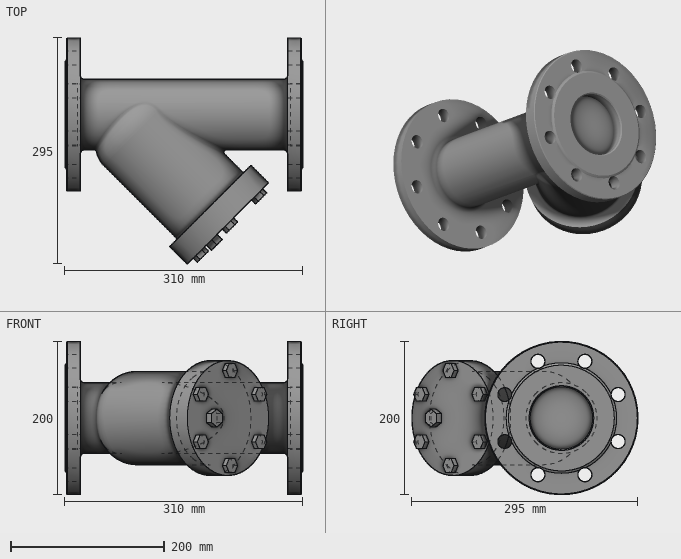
import cadquery as cq
import math


face_to_face = 310.0
pipe_diameter = 92.5
pipe_fillet = 5.0
flange_diameter = 200.0
flange_thickness = 18.0
flange_chamfer = 1.0
raised_face_height = 2.0
raised_face_diameter = 138.0
raised_face_base_diameter = 144.0
flange_bolt_circle = 160.0
flange_hole_diameter = 18.0
flange_hole_count = 8
bore_diameter = 81.5
bore_depth = 16.0
bore_chamfer = 1.5

branch_angle = 45.0
branch_crossing_x = -84.6
branch_diameter = 122.0
dome_end_distance = -3.0
dome_corner_radius = 36.0
branch_pipe_fillet = 3.0
branch_cover_fillet = 2.5

cover_diameter = 150.0
cover_thickness = 32.5
cover_face_distance = 200.8
cover_bolt_circle = 124.0
cover_bolt_count = 6
hex_sides = 6
bolt_head_across_flats = 18.0
bolt_head_height = 7.5
plug_across_flats = 20.0
plug_height = 9.5
plug_offset = 30.0

half_length = face_to_face / 2
flange_back_x = half_length - raised_face_height - flange_thickness
cover_back_distance = cover_face_distance - cover_thickness

branch_direction = (
    math.cos(math.radians(branch_angle)),
    -math.sin(math.radians(branch_angle)),
    0,
)


def branch_plane(distance):
    """Plane across the branch; its local x lies in XY on the -X -Y side, its local y is vertical."""
    dx, dy, dz = branch_direction
    origin = (branch_crossing_x + distance * dx, distance * dy, 0)
    return cq.Plane(origin=origin, xDir=(dy, -dx, 0), normal=branch_direction)


def make_flange_end():
    """Flange of the +X end with its raised face and the fillet onto the pipe, revolved about X."""
    pipe_radius = pipe_diameter / 2
    flange_radius = flange_diameter / 2
    flange_front_x = half_length - raised_face_height
    fillet_offset = pipe_fillet * (1 - math.sqrt(0.5))
    return (
        cq.Workplane("XY")
        .moveTo(flange_back_x - pipe_fillet, 0)
        .lineTo(half_length, 0)
        .lineTo(half_length, raised_face_diameter / 2)
        .lineTo(flange_front_x, raised_face_base_diameter / 2)
        .lineTo(flange_front_x, flange_radius - flange_chamfer)
        .lineTo(flange_front_x - flange_chamfer, flange_radius)
        .lineTo(flange_back_x, flange_radius)
        .lineTo(flange_back_x, pipe_radius + pipe_fillet)
        .threePointArc(
            (flange_back_x - fillet_offset, pipe_radius + fillet_offset),
            (flange_back_x - pipe_fillet, pipe_radius),
        )
        .close()
        .revolve(360, (0, 0, 0), (1, 0, 0))
    )


def make_pipe_body():
    """Pipe along X with a flange at each end."""
    pipe_end_x = flange_back_x - pipe_fillet
    pipe = cq.Workplane("YZ", origin=(-pipe_end_x, 0, 0)).circle(pipe_diameter / 2).extrude(2 * pipe_end_x)
    flange_end = make_flange_end()
    return pipe.union(flange_end).union(flange_end.mirror("YZ"))


def make_branch():
    """Round branch with a flat end whose rim is rounded into a dome."""
    inner_end = cq.selectors.DirectionMinMaxSelector(cq.Vector(branch_direction), directionMax=False)
    return (
        cq.Workplane(branch_plane(dome_end_distance))
        .circle(branch_diameter / 2)
        .extrude(cover_back_distance - dome_end_distance)
        .faces(inner_end)
        .edges()
        .fillet(dome_corner_radius)
    )


def add_cover(branch):
    """Add the cover disc and fillet the corner between its back and the branch."""
    back_plane = branch_plane(cover_back_distance)
    cover = cq.Workplane(back_plane).circle(cover_diameter / 2).extrude(cover_thickness)
    back_face = cq.selectors.NearestToPointSelector(back_plane.origin.toTuple())
    inner_rim = cq.selectors.RadiusNthSelector(0)
    return branch.union(cover).faces(back_face).edges(inner_rim).fillet(branch_cover_fillet)


def join_pipe_and_branch(pipe_body, branch):
    """Join the two and fillet their meeting curve, the only free-form edges on the body."""
    return pipe_body.union(branch).edges("%BSPLINE").fillet(branch_pipe_fillet)


def hex_head(across_flats, height, position, turn):
    """Hexagonal head standing on the cover face, turned by the given degrees about its axis."""
    across_corners = across_flats / math.cos(math.pi / hex_sides)
    return (
        cq.Workplane(branch_plane(cover_face_distance))
        .center(*position)
        .transformed(rotate=(0, 0, turn))
        .polygon(hex_sides, across_corners)
        .extrude(height)
    )


def add_cover_heads(body):
    """Ring of bolt heads, plus an off-center drain plug with its corners turned half a hex step."""
    half_hex_turn = 180 / hex_sides
    radius = cover_bolt_circle / 2
    for index in range(cover_bolt_count):
        angle = 2 * math.pi * (index + 0.5) / cover_bolt_count
        position = (radius * math.cos(angle), radius * math.sin(angle))
        body = body.union(hex_head(bolt_head_across_flats, bolt_head_height, position, 0))
    return body.union(hex_head(plug_across_flats, plug_height, (plug_offset, 0), half_hex_turn))


def cut_flange_holes(body):
    """Bolt holes through both flanges, straddling the vertical and horizontal planes."""
    first_angle = 180 / flange_hole_count
    holes = (
        cq.Workplane("YZ", origin=(flange_back_x, 0, 0))
        .polarArray(flange_bolt_circle / 2, first_angle, 360, flange_hole_count)
        .circle(flange_hole_diameter / 2)
        .extrude(half_length - flange_back_x)
    )
    return body.cut(holes).cut(holes.mirror("YZ"))


def cut_bores(body):
    """Blind bore with a chamfered mouth in each end face."""
    bore_radius = bore_diameter / 2
    bore = (
        cq.Workplane("XY")
        .moveTo(half_length - bore_depth, 0)
        .lineTo(half_length - bore_depth, bore_radius)
        .lineTo(half_length - bore_chamfer, bore_radius)
        .lineTo(half_length, bore_radius + bore_chamfer)
        .lineTo(half_length, 0)
        .close()
        .revolve(360, (0, 0, 0), (1, 0, 0))
    )
    return body.cut(bore).cut(bore.mirror("YZ"))


covered_branch = add_cover(make_branch())
body = join_pipe_and_branch(make_pipe_body(), covered_branch)
body = add_cover_heads(body)
body = cut_flange_holes(body)
result = cut_bores(body)